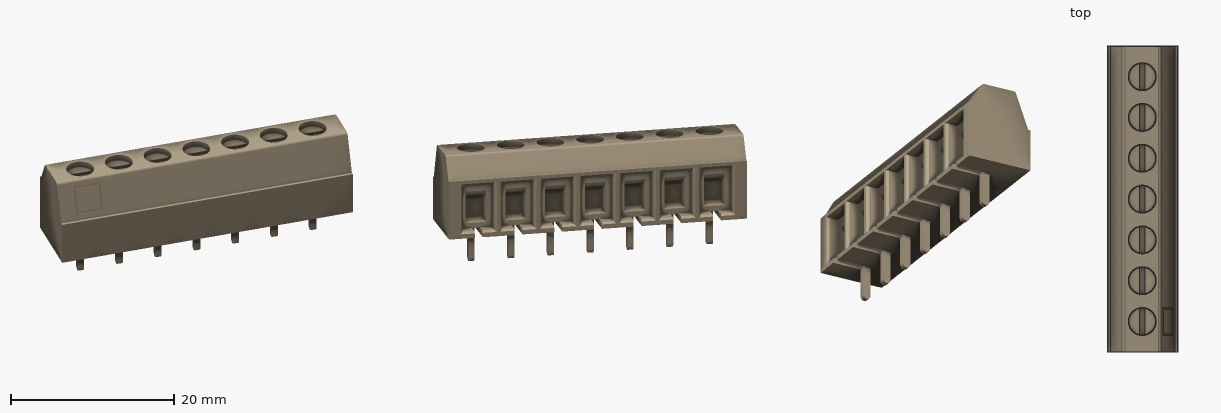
import cadquery as cq
import math


pole_count = 7
pole_span = 30.0
pitch = pole_span / (pole_count - 1)
pole_positions = [i * pitch - pole_span / 2 for i in range(pole_count)]

length = 37.5
width = 8.6
housing_height = 10.25
front_shoulder_z = 7.42
rear_shoulder_z = 5.48
shoulder_width = 0.35
ridge_front_x = 1.88
ridge_rear_x = 6.5
ridge_radius = 0.38

entry_width = 4.55
entry_bottom_z = 0.55
entry_top_z = 6.98
lead_in = 0.22
lead_in_top = 0.1
lead_in_depth = 0.35
entry_depth = 1.55

clamp_width = 2.6
clamp_bottom_z = 1.45
clamp_top_z = 5.5
clamp_guard_z = 3.82
guard_reach = 2.25
guard_bulge = 0.2
clamp_back_x = entry_depth + guard_reach

screw_x = 4.25
screw_hole_diameter = 3.4
screw_head_diameter = 3.3
screw_head_depth = 0.75
screw_head_height = 1.12
driver_slot_width = 0.68
driver_slot_depth = 0.75

pin_x = screw_x
pin_width = 1.0
pin_thickness = 0.7
pin_length = 4.28
pin_embedded = 1.12
floor_slot_width = 1.0

label_y = -pole_span / 2
label_length = 3.45
label_height = 3.45
label_border = 0.25
label_depth = 0.1


def box(x_range, y_centre, y_size, z_range):
    """Box between two X and two Z limits, centred on y_centre."""
    x_size = x_range[1] - x_range[0]
    z_size = z_range[1] - z_range[0]
    corner = (x_range[0], y_centre - y_size / 2, z_range[0])
    return cq.Workplane("XY").box(x_size, y_size, z_size, centered=False).translate(corner)


def make_housing():
    outline = [
        (0, 0),
        (width, 0),
        (width, rear_shoulder_z),
        (width - shoulder_width, rear_shoulder_z),
        (ridge_rear_x, housing_height),
        (ridge_front_x, housing_height),
        (shoulder_width, front_shoulder_z),
        (0, front_shoulder_z),
    ]
    body = cq.Workplane("XZ").polyline(outline).close().extrude(length / 2, both=True)
    return body.faces(">Z").edges("|Y").fillet(ridge_radius)


def make_entry(y):
    inner_width = entry_width - 2 * lead_in
    inner_bottom_z = entry_bottom_z + lead_in
    inner_top_z = entry_top_z - lead_in_top
    outer_middle_z = (entry_bottom_z + entry_top_z) / 2
    inner_middle_z = (inner_bottom_z + inner_top_z) / 2
    mouth = (
        cq.Workplane("YZ", origin=(0, y, outer_middle_z))
        .rect(entry_width, entry_top_z - entry_bottom_z)
        .workplane(offset=lead_in_depth)
        .center(0, inner_middle_z - outer_middle_z)
        .rect(inner_width, inner_top_z - inner_bottom_z)
        .loft(ruled=True)
    )
    pocket = box((lead_in_depth, entry_depth), y, inner_width, (inner_bottom_z, inner_top_z))
    return mouth.union(pocket)


def make_clamp_opening(y):
    """Opening whose roof is an S-curved wire guard falling towards the back."""
    guard_middle = (entry_depth + guard_reach / 2, (clamp_top_z + clamp_guard_z) / 2)
    return (
        cq.Workplane("XZ", origin=(0, y, 0))
        .moveTo(entry_depth, clamp_bottom_z)
        .lineTo(entry_depth, clamp_top_z)
        .sagittaArc(guard_middle, -guard_bulge)
        .sagittaArc((clamp_back_x, clamp_guard_z), guard_bulge)
        .lineTo(clamp_back_x, clamp_bottom_z)
        .close()
        .extrude(clamp_width / 2, both=True)
    )


def make_floor_slot(y):
    return box((0, pin_x), y, floor_slot_width, (0, entry_bottom_z + lead_in))


def make_screw_recess(y):
    """Recess above the screw head, the thin gap around it and its driver slot."""
    head_top_z = housing_height - screw_head_depth
    head_bottom_z = head_top_z - screw_head_height
    hole = (
        cq.Workplane("XY", origin=(screw_x, y, head_bottom_z))
        .circle(screw_hole_diameter / 2)
        .extrude(housing_height - head_bottom_z)
    )
    head = (
        cq.Workplane("XY", origin=(screw_x, y, head_bottom_z))
        .circle(screw_head_diameter / 2)
        .extrude(screw_head_height)
    )
    slot = box(
        (screw_x - driver_slot_width / 2, screw_x + driver_slot_width / 2),
        y,
        screw_head_diameter,
        (head_top_z - driver_slot_depth, head_top_z),
    )
    return hole.cut(head.cut(slot))


def make_pin(y):
    """Flat pin with a fully rounded tip, rooted in the housing."""
    radius = pin_width / 2
    return (
        cq.Workplane("XZ", origin=(pin_x, y, 0))
        .moveTo(-radius, pin_embedded)
        .lineTo(-radius, radius - pin_length)
        .threePointArc((0, -pin_length), (radius, radius - pin_length))
        .lineTo(radius, pin_embedded)
        .close()
        .extrude(pin_thickness / 2, both=True)
    )


def make_label_frame():
    """Rectangular ring engraved square to the rear slope."""
    slope_run = width - shoulder_width - ridge_rear_x
    slope_drop = housing_height - rear_shoulder_z
    slope_length = math.hypot(slope_run, slope_drop)
    middle = (ridge_rear_x + slope_run / 2, label_y, rear_shoulder_z + slope_drop / 2)
    slope_normal = (slope_drop / slope_length, 0, slope_run / slope_length)
    slope_plane = cq.Plane(origin=middle, xDir=(0, 1, 0), normal=slope_normal)
    return (
        cq.Workplane(slope_plane)
        .rect(label_length, label_height)
        .rect(label_length - 2 * label_border, label_height - 2 * label_border)
        .extrude(-label_depth)
    )


result = make_housing().cut(make_label_frame())
for pole_y in pole_positions:
    result = result.cut(make_entry(pole_y))
    result = result.cut(make_clamp_opening(pole_y))
    result = result.cut(make_floor_slot(pole_y))
    result = result.cut(make_screw_recess(pole_y))
    result = result.union(make_pin(pole_y))